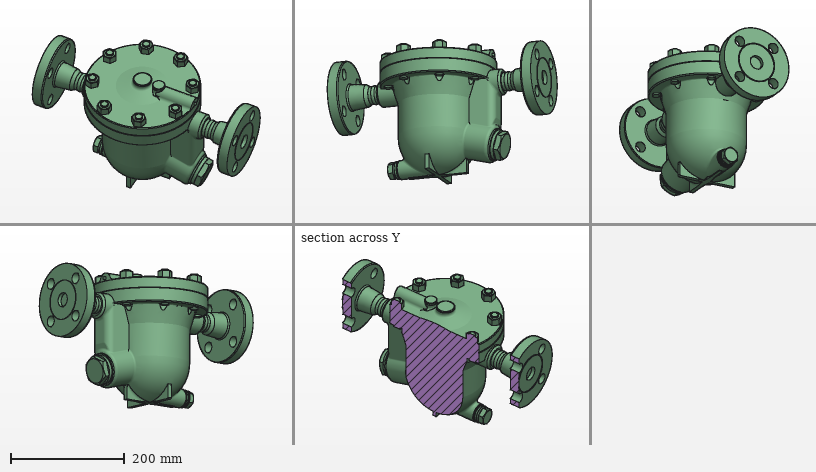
import cadquery as cq
import math

SELECT_MARGIN = 1.0


BODY_R = 71.0
BODY_BOTTOM_Z = -160.0
DOME_CENTER_Z = BODY_BOTTOM_Z + BODY_R
NECK_BOTTOM_Z = -30.0
NECK_TOP_R = 80.5
NECK_FILLET = 2.5
FLANGE_R = 103.0
FLANGE_BOTTOM_Z = 3.0
FLANGE_EDGE = 2.0
JOINT_Z = 27.3
JOINT_GAP = 0.8
GASKET_R = FLANGE_R - 1.0

COVER_TOP_Z = 47.3
COVER_EDGE = 1.5
CROWN_R = 46.5
CAP_R = 16.5
CAP_TOP_Z = 65.6
CAP_CHAMFER = 1.5
CAP_STEM_R = 16.0
CAP_RIM_HEIGHT = 2.5
CAP_FLARE_R = 5.3
CAP_FLARE_Z = 53.4
VENT_X = 32.0
VENT_R = 11.0
VENT_STEM_R = 10.5
VENT_RIM_HEIGHT = 4.7
VENT_CHAMFER = 1.0
VENT_FLARE_R = 4.5
VENT_FLARE_Z = 50.9
RIDGE_R = 14.0
RIDGE_TOP_Z = 60.6
RIDGE_FILLET = 6.0
RIDGE_END_R = 102.7
TIP_R = 3.0
TIP_Z = 51.2
TIP_END_X = 106.5

STUD_COUNT = 8
STUD_CIRCLE_R = 88.5
STUD_D = 14.0
STUD_TOP_Z = 63.0
STUD_BOTTOM_Z = 0.0
STUD_CHAMFER = 1.0
NUT_FLATS = 22.0
NUT_HEIGHT = 13.0
SPOTFACE_D = 21.0
SPOTFACE_DEPTH = 12.0

FACE_TO_FACE = 385.0
INLET_FACE_X = -184.6
OUTLET_FACE_X = INLET_FACE_X + FACE_TO_FACE
PIPE_FLANGE_D = 130.0
PIPE_FLANGE_THICKNESS = 20.0
PIPE_FLANGE_EDGE = 2.5
PIPE_FLANGE_EDGE_DROP = 1.0
RAISED_FACE_D = 70.0
RAISED_FACE_HEIGHT = 1.0
FACE_GROOVE_WIDTH = 1.0
BOLT_HOLE_D = 19.0
BOLT_HOLE_COUNT = 4
BOLT_CIRCLE_D = 95.0
BOLT_HOLE_START_ANGLE = 45.0
BORE_D = 25.0
BORE_DEPTH = 7.0
HUB_ROOT_D = 49.5
HUB_D = 46.0
HUB_SMALL_D = 40.0
PIPE_D = 32.0
BEAD_D = 34.0
BOSS_D = 46.0
HUB_ROOT_LENGTH = 3.0
HUB_TAPER_END = 30.8
HUB_END = 37.5
BEAD_START = 43.0
BEAD_END = 49.2
BOSS_START = 54.8
BOSS_CHAMFER = 3.8

PASSAGE_END_X = 114.2
PASSAGE_CORNER_R = 13.0
PASSAGE_PIPE_FILLET = 5.0
PASSAGE_INSET = 5.0

STRAINER_ANGLE = 15.0
STRAINER_AXIS_Z = -84.5
STRAINER_R = 33.5
STRAINER_LENGTH = 111.0
STRAINER_EDGE_R = 6.0
STRAINER_ROOT_FILLET = 4.0
STRAINER_WASHER_R = 29.0
STRAINER_WASHER_END = 114.0
STRAINER_COLLAR_R = 26.5
STRAINER_HEX_START = 120.0
STRAINER_END = 131.0
STRAINER_HEX_FLATS = 46.0
STRAINER_ROOT_BOTTOM_Z = -140.0
STRAINER_ROOT_TOP_Z = -50.0

DRAIN_R = 17.0
DRAIN_Z = -142.0
DRAIN_BOSS_END = 72.0
DRAIN_EDGE = 1.0
DRAIN_ROOT_FILLET = 4.0
DRAIN_ROOT_CLEARANCE = 5.0
DRAIN_COLLAR_R = 15.0
DRAIN_WASHER_R = 16.0
DRAIN_WASHER_START = 73.5
DRAIN_WASHER_END = 77.5
DRAIN_HEX_START = 80.9
DRAIN_END = 91.1
DRAIN_HEX_FLATS = 27.0

FOOT_REACH = 55.0
FOOT_THICKNESS = 8.0
FOOT_HEIGHT = 45.0
FOOT_CHAMFER = 2.0
FOOT_FILLET = 5.0
FOOT_CORE_INSET = 0.3
FOOT_SPARE = 15.0

HEX_FACE_RATIO = 0.95
HEX_CHAMFER_ANGLE = 30.0


def hexagon_prism(flats, height):
    """Hexagon along +Z from z = 0 with a corner on +X, its top corners turned off at an angle."""
    corner_r = flats / math.sqrt(3)
    face_r = HEX_FACE_RATIO * flats / 2
    radial = corner_r - face_r
    axial = radial * math.tan(math.radians(HEX_CHAMFER_ANGLE))
    prism = cq.Workplane("XY").polygon(6, 2 * corner_r).extrude(height)
    turned = (
        cq.Workplane("XZ")
        .polyline([(0, 0), (corner_r, 0), (corner_r, height - axial), (face_r, height), (0, height)])
        .close()
        .revolve(360, (0, 0, 0), (0, 1, 0))
    )
    return prism.intersect(turned)


def body():
    profile = (
        cq.Workplane("XZ")
        .moveTo(0, BODY_BOTTOM_Z)
        .radiusArc((BODY_R, DOME_CENTER_Z), -BODY_R)
        .lineTo(BODY_R, NECK_BOTTOM_Z)
        .lineTo(NECK_TOP_R, FLANGE_BOTTOM_Z - NECK_FILLET)
        .radiusArc((NECK_TOP_R + NECK_FILLET, FLANGE_BOTTOM_Z), NECK_FILLET)
        .lineTo(FLANGE_R - FLANGE_EDGE, FLANGE_BOTTOM_Z)
        .lineTo(FLANGE_R, FLANGE_BOTTOM_Z + FLANGE_EDGE)
        .lineTo(FLANGE_R, JOINT_Z)
        .lineTo(0, JOINT_Z)
        .close()
    )
    return profile.revolve(360, (0, 0, 0), (0, 1, 0)).rotate((0, 0, 0), (0, 0, 1), 90)


def passage():
    """Outlet wall from the strainer up to the pipe, blended into a stub of the outlet pipe boss."""
    slope = math.radians(STRAINER_ANGLE)
    half_width = BOSS_D / 2
    inset = STRAINER_LENGTH - PASSAGE_INSET
    axis_x = inset * math.cos(slope)
    axis_z = STRAINER_AXIS_Z - inset * math.sin(slope)
    corner_z = axis_z + (PASSAGE_END_X - axis_x) / math.tan(slope)
    outline = [
        (0, STRAINER_AXIS_Z),
        (axis_x, axis_z),
        (PASSAGE_END_X, corner_z),
        (PASSAGE_END_X, FLANGE_BOTTOM_Z),
        (0, FLANGE_BOTTOM_Z),
    ]
    wall = cq.Workplane("XZ").polyline(outline).close().extrude(half_width, both=True)
    wall = wall.edges("|Z and >X").fillet(PASSAGE_CORNER_R)
    stub_end = OUTLET_FACE_X - RAISED_FACE_HEIGHT - PIPE_FLANGE_THICKNESS - BOSS_START - BOSS_CHAMFER
    stub = cq.Workplane("YZ").circle(half_width).extrude(stub_end)
    joined = wall.union(stub)
    blend = cq.selectors.BoxSelector(
        (PASSAGE_END_X - PASSAGE_CORNER_R / 2, -half_width, -1.1 * half_width),
        (PASSAGE_END_X + SELECT_MARGIN, half_width, -SELECT_MARGIN),
    )
    return joined.edges(blend).fillet(PASSAGE_PIPE_FILLET)


def strainer_place(shape):
    return shape.rotate((0, 0, 0), (0, 1, 0), 90 + STRAINER_ANGLE).translate((0, 0, STRAINER_AXIS_Z))


def strainer_boss():
    return strainer_place(cq.Workplane("XY").circle(STRAINER_R).extrude(STRAINER_LENGTH))


def strainer_plug():
    washer = cq.Workplane("XY").circle(STRAINER_WASHER_R).extrude(STRAINER_WASHER_END)
    collar = cq.Workplane("XY").circle(STRAINER_COLLAR_R).extrude(STRAINER_HEX_START)
    head = hexagon_prism(STRAINER_HEX_FLATS, STRAINER_END - STRAINER_HEX_START)
    return strainer_place(washer.union(collar).union(head.translate((0, 0, STRAINER_HEX_START))))


def is_strainer_root(edge):
    """True for the edges where the strainer boss meets the bowl and the passage wall."""
    box = edge.BoundingBox()
    near_boss = box.xmin > BODY_R / 2 and box.xmax < PASSAGE_END_X + SELECT_MARGIN / 10
    in_height = box.zmin > STRAINER_ROOT_BOTTOM_Z and box.zmax < STRAINER_ROOT_TOP_Z
    seam = edge.geomType() == "LINE" and abs(edge.Center().y) < SELECT_MARGIN
    return near_boss and in_height and not seam


def drain_place(shape):
    return shape.rotate((0, 0, 0), (0, 1, 0), -90).translate((0, 0, DRAIN_Z))


def drain_boss():
    boss = cq.Workplane("XY").circle(DRAIN_R).extrude(DRAIN_BOSS_END)
    return drain_place(boss.faces(">Z").chamfer(DRAIN_EDGE))


def drain_plug():
    collar = cq.Workplane("XY").circle(DRAIN_COLLAR_R).extrude(DRAIN_HEX_START)
    washer = (
        cq.Workplane("XY", origin=(0, 0, DRAIN_WASHER_START))
        .circle(DRAIN_WASHER_R)
        .extrude(DRAIN_WASHER_END - DRAIN_WASHER_START)
    )
    head = hexagon_prism(DRAIN_HEX_FLATS, DRAIN_END - DRAIN_HEX_START)
    return drain_place(collar.union(washer).union(head.translate((0, 0, DRAIN_HEX_START))))


def feet():
    """Filleted foot along X and plain foot along Y, on a core that sits just inside the dome."""
    core = cq.Workplane("XY").sphere(BODY_R - FOOT_CORE_INSET).translate((0, 0, DOME_CENTER_Z))
    depth = FOOT_HEIGHT + FOOT_SPARE
    bar_z = BODY_BOTTOM_Z - FOOT_SPARE + depth / 2
    bar = cq.Workplane("XY").box(2 * FOOT_REACH, FOOT_THICKNESS, depth).translate((0, 0, bar_z))
    joined = core.union(bar)
    for side_y in (-FOOT_THICKNESS / 2, FOOT_THICKNESS / 2):
        side = cq.selectors.BoxSelector(
            (-FOOT_REACH, side_y - SELECT_MARGIN, BODY_BOTTOM_Z),
            (FOOT_REACH, side_y + SELECT_MARGIN, BODY_BOTTOM_Z + FOOT_HEIGHT),
        )
        joined = joined.edges(side).edges("%CIRCLE").fillet(FOOT_FILLET)
    spare = cq.Workplane("XY", origin=(0, 0, BODY_BOTTOM_Z - FOOT_SPARE))
    trimmed = joined.cut(spare.circle(FLANGE_R).extrude(FOOT_SPARE))
    cross_z = BODY_BOTTOM_Z + FOOT_HEIGHT / 2
    cross = cq.Workplane("XY").box(FOOT_THICKNESS, 2 * FOOT_REACH, FOOT_HEIGHT).translate((0, 0, cross_z))
    return trimmed.union(cross.faces(">Y").edges("<Z").chamfer(FOOT_CHAMFER))


def cover():
    gasket = cq.Workplane("XY", origin=(0, 0, JOINT_Z)).circle(GASKET_R).extrude(JOINT_GAP)
    lid_z = JOINT_Z + JOINT_GAP
    lid = cq.Workplane("XY", origin=(0, 0, lid_z)).circle(FLANGE_R).extrude(COVER_TOP_Z - lid_z)
    lid = lid.faces(">Z").chamfer(COVER_EDGE)
    cap = (
        cq.Workplane("XZ")
        .moveTo(0, lid_z)
        .lineTo(CROWN_R, lid_z)
        .lineTo(CROWN_R, COVER_TOP_Z)
        .lineTo(CAP_STEM_R + CAP_FLARE_R, CAP_FLARE_Z)
        .radiusArc((CAP_STEM_R, CAP_FLARE_Z + CAP_FLARE_R), CAP_FLARE_R)
        .lineTo(CAP_STEM_R, CAP_TOP_Z - CAP_RIM_HEIGHT)
        .lineTo(CAP_R, CAP_TOP_Z - CAP_RIM_HEIGHT)
        .lineTo(CAP_R, CAP_TOP_Z - CAP_CHAMFER)
        .lineTo(CAP_R - CAP_CHAMFER, CAP_TOP_Z)
        .lineTo(0, CAP_TOP_Z)
        .close()
        .revolve(360, (0, 0, 0), (0, 1, 0))
    )
    return gasket.union(lid).union(cap).union(vent()).union(ridge())


def vent():
    """Small capped boss between the cover crown and the ridge."""
    base_z = JOINT_Z + JOINT_GAP
    rim_z = CAP_TOP_Z - VENT_RIM_HEIGHT
    profile = (
        cq.Workplane("XZ")
        .moveTo(0, base_z)
        .lineTo(VENT_STEM_R + VENT_FLARE_R, base_z)
        .lineTo(VENT_STEM_R + VENT_FLARE_R, VENT_FLARE_Z)
        .radiusArc((VENT_STEM_R, VENT_FLARE_Z + VENT_FLARE_R), VENT_FLARE_R)
        .lineTo(VENT_STEM_R, rim_z)
        .lineTo(VENT_R, rim_z)
        .lineTo(VENT_R, CAP_TOP_Z - VENT_CHAMFER)
        .lineTo(VENT_R - VENT_CHAMFER, CAP_TOP_Z)
        .lineTo(0, CAP_TOP_Z)
        .close()
    )
    return profile.revolve(360, (0, 0, 0), (0, 1, 0)).translate((VENT_X, 0, 0))


def ridge():
    """Rounded ridge from the vent to the rim, with filleted foot and a small round stub at its end."""
    center_z = RIDGE_TOP_Z - RIDGE_R
    fillet_z = COVER_TOP_Z + RIDGE_FILLET
    reach = RIDGE_R + RIDGE_FILLET
    foot_y = math.sqrt(reach**2 - (fillet_z - center_z) ** 2)
    tangent_y = foot_y * RIDGE_R / reach
    tangent_z = center_z + (fillet_z - center_z) * RIDGE_R / reach
    base_z = COVER_TOP_Z - COVER_EDGE
    bar = (
        cq.Workplane("YZ", origin=(VENT_X, 0, 0))
        .moveTo(-foot_y, base_z)
        .lineTo(-foot_y, COVER_TOP_Z)
        .radiusArc((-tangent_y, tangent_z), -RIDGE_FILLET)
        .threePointArc((0, RIDGE_TOP_Z), (tangent_y, tangent_z))
        .radiusArc((foot_y, COVER_TOP_Z), -RIDGE_FILLET)
        .lineTo(foot_y, base_z)
        .close()
        .extrude(RIDGE_END_R - VENT_X)
    )
    rim = cq.Workplane("XY", origin=(0, 0, base_z)).circle(RIDGE_END_R).extrude(RIDGE_TOP_Z)
    tip_start = TIP_END_X - TIP_R
    stub = cq.Workplane("YZ", origin=(VENT_X, 0, TIP_Z)).circle(TIP_R).extrude(tip_start - VENT_X)
    stub = stub.union(cq.Workplane("XY").sphere(TIP_R).translate((tip_start, 0, TIP_Z)))
    return bar.intersect(rim).union(stub)


def pipe_connection(flange_back_x, side):
    """Flange, welding-neck hub, weld bead and boss; side is +1 on the outlet, -1 on the inlet."""
    radius = PIPE_FLANGE_D / 2
    boss_full = BOSS_START + BOSS_CHAMFER
    inner_end = abs(flange_back_x)
    if side < 0:
        inner_end -= BODY_R / 2
    profile = (
        cq.Workplane("XZ")
        .moveTo(-PIPE_FLANGE_THICKNESS, 0)
        .lineTo(-PIPE_FLANGE_THICKNESS, radius)
        .lineTo(-PIPE_FLANGE_EDGE, radius)
        .lineTo(0, radius - PIPE_FLANGE_EDGE_DROP)
        .lineTo(0, HUB_ROOT_D / 2)
        .lineTo(HUB_ROOT_LENGTH, HUB_D / 2)
        .lineTo(HUB_TAPER_END, HUB_SMALL_D / 2)
        .lineTo(HUB_END, PIPE_D / 2)
        .lineTo(BEAD_START, PIPE_D / 2)
        .threePointArc(((BEAD_START + BEAD_END) / 2, BEAD_D / 2), (BEAD_END, PIPE_D / 2))
        .lineTo(BOSS_START, PIPE_D / 2)
        .lineTo(BOSS_START, BOSS_D / 2 - BOSS_CHAMFER)
        .lineTo(boss_full, BOSS_D / 2)
        .lineTo(inner_end, BOSS_D / 2)
        .lineTo(inner_end, 0)
        .close()
        .revolve(360, (0, 0, 0), (1, 0, 0))
    )
    holes = (
        cq.Workplane("YZ", origin=(-PIPE_FLANGE_THICKNESS, 0, 0))
        .polarArray(BOLT_CIRCLE_D / 2, BOLT_HOLE_START_ANGLE, 360, BOLT_HOLE_COUNT)
        .circle(BOLT_HOLE_D / 2)
        .extrude(PIPE_FLANGE_THICKNESS)
    )
    whole = profile.cut(holes)
    if side > 0:
        whole = whole.mirror("YZ")
    return whole.translate((flange_back_x, 0, 0))


def inlet():
    connection = pipe_connection(INLET_FACE_X + PIPE_FLANGE_THICKNESS, -1)
    groove = (
        cq.Workplane("YZ", origin=(INLET_FACE_X, 0, 0))
        .circle(RAISED_FACE_D / 2 + FACE_GROOVE_WIDTH)
        .circle(RAISED_FACE_D / 2)
        .extrude(RAISED_FACE_HEIGHT)
    )
    bore = cq.Workplane("YZ", origin=(INLET_FACE_X, 0, 0)).circle(BORE_D / 2).extrude(BORE_DEPTH)
    return connection.cut(groove).cut(bore)


def outlet():
    face_x = OUTLET_FACE_X - RAISED_FACE_HEIGHT
    connection = pipe_connection(face_x - PIPE_FLANGE_THICKNESS, 1)
    face = cq.Workplane("YZ", origin=(face_x, 0, 0)).circle(RAISED_FACE_D / 2).extrude(RAISED_FACE_HEIGHT)
    bore_start = OUTLET_FACE_X - BORE_DEPTH
    bore = cq.Workplane("YZ", origin=(bore_start, 0, 0)).circle(BORE_D / 2).extrude(BORE_DEPTH)
    return connection.union(face).cut(bore)


def on_bolt_circle(single):
    """Copies of a shape built on the Z axis, turned and moved to every stud position."""
    pitch = 360 / STUD_COUNT
    first = single.rotate((0, 0, 0), (0, 0, 1), pitch / 2).translate((STUD_CIRCLE_R, 0, 0))
    return [first.rotate((0, 0, 0), (0, 0, 1), (i + 0.5) * pitch) for i in range(STUD_COUNT)]


def stud_and_nut():
    stud = cq.Workplane("XY", origin=(0, 0, STUD_BOTTOM_Z)).circle(STUD_D / 2)
    stud = stud.extrude(STUD_TOP_Z - STUD_BOTTOM_Z).faces(">Z").chamfer(STUD_CHAMFER)
    return stud.union(hexagon_prism(NUT_FLATS, NUT_HEIGHT).translate((0, 0, COVER_TOP_Z)))


def spotface():
    start = cq.Workplane("XY", origin=(0, 0, FLANGE_BOTTOM_Z - SPOTFACE_DEPTH))
    return start.circle(SPOTFACE_D / 2).extrude(SPOTFACE_DEPTH)


def bowl():
    """Body casting: turned body with its passage, filleted bosses, feet and spotfaces."""
    casting = body().union(passage()).union(strainer_boss())
    root = [edge for edge in casting.edges().vals() if is_strainer_root(edge)]
    casting = casting.newObject(root).fillet(STRAINER_ROOT_FILLET)
    slope = math.radians(STRAINER_ANGLE)
    end_point = (
        STRAINER_LENGTH * math.cos(slope),
        0,
        STRAINER_AXIS_Z - STRAINER_LENGTH * math.sin(slope),
    )
    casting = casting.edges("%CIRCLE").edges(cq.selectors.NearestToPointSelector(end_point))
    casting = casting.fillet(STRAINER_EDGE_R)
    casting = casting.union(drain_boss())
    drain_root = cq.selectors.BoxSelector(
        (-BODY_R, -DRAIN_R, DRAIN_Z - DRAIN_R),
        (-DRAIN_ROOT_CLEARANCE, DRAIN_R, DRAIN_Z + DRAIN_R),
    )
    casting = casting.edges(drain_root).edges("%BSPLINE").fillet(DRAIN_ROOT_FILLET)
    casting = casting.union(feet())
    for cutter in on_bolt_circle(spotface()):
        casting = casting.cut(cutter)
    return casting


result = bowl().union(strainer_plug()).union(drain_plug())
result = result.union(cover()).union(inlet()).union(outlet())
for stud in on_bolt_circle(stud_and_nut()):
    result = result.union(stud)